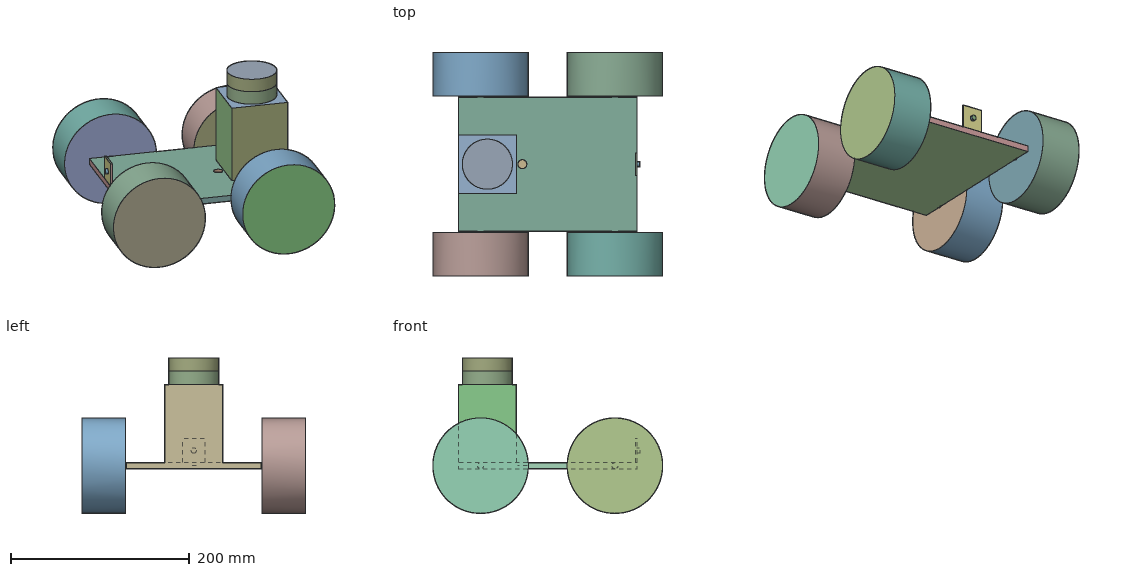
import cadquery as cq

chassis_length = 200.0
chassis_width = 150.0
chassis_thickness = 7.0
chassis_top = chassis_thickness / 2

tower_side = 65.0
tower_height = 87.0
tower_x = (tower_side - chassis_length) / 2
tower_top = chassis_top + tower_height

recess_diameter = 10.0
recess_depth = chassis_thickness / 2
recess_gap = 1.5
recess_x = tower_x + tower_side / 2 + recess_gap + recess_diameter / 2

axle_diameter = 7.0
axle_length = 1.0

wheel_diameter = 107.0
overall_length = 257
overall_width = 250.0
wheel_x = (overall_length - wheel_diameter) / 2
wheel_inner_y = chassis_width / 2 + axle_length
wheel_width = overall_width / 2 - wheel_inner_y

disc_count = 2
disc_diameter = 56.0
overall_height = 174.0
disc_stack_top = overall_height - wheel_diameter / 2
disc_height = (disc_stack_top - tower_top) / disc_count

board_width = 25.0
board_height = 27.0
board_thickness = 2.0
board_outer_x = chassis_length / 2
lens_diameter = 6.0
lens_length = 3.0
lens_z = chassis_top + board_height / 2


def make_cylinder(diameter, start, direction, length):
    return cq.Workplane(cq.Solid.makeCylinder(
        diameter / 2, length, cq.Vector(*start), cq.Vector(*direction)))


def make_chassis():
    plate = cq.Workplane().box(chassis_length, chassis_width, chassis_thickness)
    tower = (
        cq.Workplane()
        .box(tower_side, tower_side, tower_height, centered=(True, True, False))
        .translate((tower_x, 0, chassis_top))
    )
    recess = make_cylinder(recess_diameter, (recess_x, 0, chassis_top), (0, 0, -1), recess_depth)
    chassis = plate.union(tower).cut(recess)
    for x in (-wheel_x, wheel_x):
        for side in (-1, 1):
            start = (x, side * chassis_width / 2, 0)
            chassis = chassis.union(make_cylinder(axle_diameter, start, (0, side, 0), axle_length))
    return chassis


def make_wheel(x, side):
    return make_cylinder(wheel_diameter, (x, side * wheel_inner_y, 0), (0, side, 0), wheel_width)


def make_disc(base_z):
    return make_cylinder(disc_diameter, (tower_x, 0, base_z), (0, 0, 1), disc_height)


def make_camera():
    board = (
        cq.Workplane()
        .box(board_thickness, board_width, board_height, centered=(True, True, False))
        .translate((board_outer_x - board_thickness / 2, 0, chassis_top))
    )
    lens = make_cylinder(lens_diameter, (board_outer_x, 0, lens_z), (1, 0, 0), lens_length)
    return board.union(lens)


chassis = make_chassis()
wheels = [make_wheel(x, side) for x in (-wheel_x, wheel_x) for side in (-1, 1)]
discs = [make_disc(tower_top + level * disc_height) for level in range(disc_count)]
camera = make_camera()

result = cq.Compound.makeCompound([
    chassis.val(),
    *[wheel.val() for wheel in wheels],
    *[disc.val() for disc in discs],
    camera.val(),
])